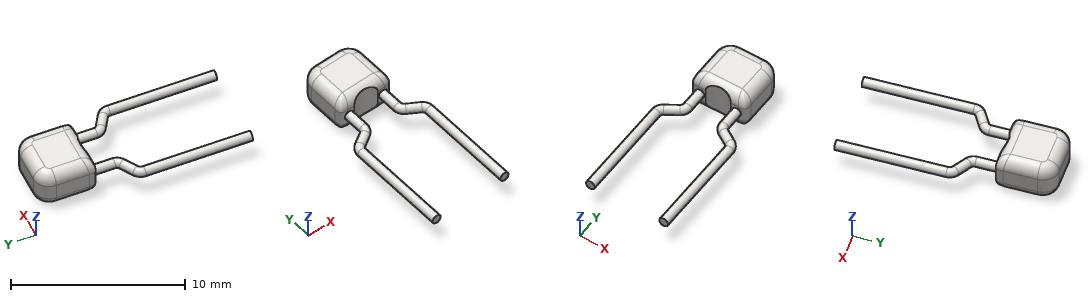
import cadquery as cq
import math


total_length = 12.97

housing_width = 3.8
housing_length = 3.6
housing_height = 2.54
rear_corner_radius = 1.0
front_corner_setback = 0.5
front_corner_handle = 0.06
rim_radius = 0.74
scoop_width = 1.75
scoop_depth = 0.23

wire_diameter = 0.61
root_spacing = 2.54
tip_spacing = 2 * root_spacing
root_length = 1.28
socket_depth = 0.5
bend_radius = 0.5
bend_angle = math.radians(58)


def front_corner_points(side):
    """Curve control points of one front corner, from the front wall to the side wall."""
    wall_x = housing_width / 2
    return [
        (side * (wall_x - front_corner_setback), 0),
        (side * (wall_x - front_corner_handle), 0),
        (side * wall_x, front_corner_handle),
        (side * wall_x, front_corner_setback),
    ]


def make_housing_block():
    """Block with rounded rear corners, tight front corners and rounded top and bottom rims."""
    right_corner = front_corner_points(1)
    left_corner = front_corner_points(-1)[::-1]
    block = (
        cq.Workplane("XY", origin=(0, 0, -housing_height / 2))
        .moveTo(*right_corner[0])
        .bezier(right_corner)
        .lineTo(housing_width / 2, housing_length)
        .lineTo(-housing_width / 2, housing_length)
        .lineTo(*left_corner[0])
        .bezier(left_corner)
        .close()
        .extrude(housing_height)
    )
    block = block.edges("|Z and >Y").fillet(rear_corner_radius)
    return block.faces("|Z").edges().fillet(rim_radius)


def make_scoop():
    """Upright cylinder segment that hollows the front wall."""
    half_width = scoop_width / 2
    radius = (half_width**2 + scoop_depth**2) / (2 * scoop_depth)
    return (
        cq.Workplane("XY", origin=(0, scoop_depth - radius, -housing_height / 2))
        .circle(radius)
        .extrude(housing_height)
    )


def make_lead(side):
    """Round wire with an outward double bend; side is +1 or -1 along X."""
    root_x = root_spacing / 2
    tip_x = tip_spacing / 2
    arc_side = bend_radius * (1 - math.cos(bend_angle))
    arc_drop = bend_radius * math.sin(bend_angle)
    slant_side = tip_x - root_x - 2 * arc_side
    slant_drop = slant_side / math.tan(bend_angle)

    first_bend_y = -root_length
    slant_start = (side * (root_x + arc_side), first_bend_y - arc_drop)
    slant_end = (side * (tip_x - arc_side), slant_start[1] - slant_drop)
    second_bend_end = (side * tip_x, slant_end[1] - arc_drop)

    path = (
        cq.Workplane("XY")
        .moveTo(side * root_x, socket_depth)
        .lineTo(side * root_x, first_bend_y)
        .tangentArcPoint(slant_start, relative=False)
        .lineTo(*slant_end)
        .tangentArcPoint(second_bend_end, relative=False)
        .lineTo(side * tip_x, housing_length - total_length)
    )
    start_plane = cq.Plane(
        origin=(side * root_x, socket_depth, 0), xDir=(1, 0, 0), normal=(0, -1, 0)
    )
    return cq.Workplane(start_plane).circle(wire_diameter / 2).sweep(path)


leads = [make_lead(side) for side in (-1, 1)]

housing = make_housing_block().cut(make_scoop())
for lead in leads:
    housing = housing.cut(lead)

result = cq.Compound.makeCompound([housing.val(), *[lead.val() for lead in leads]])